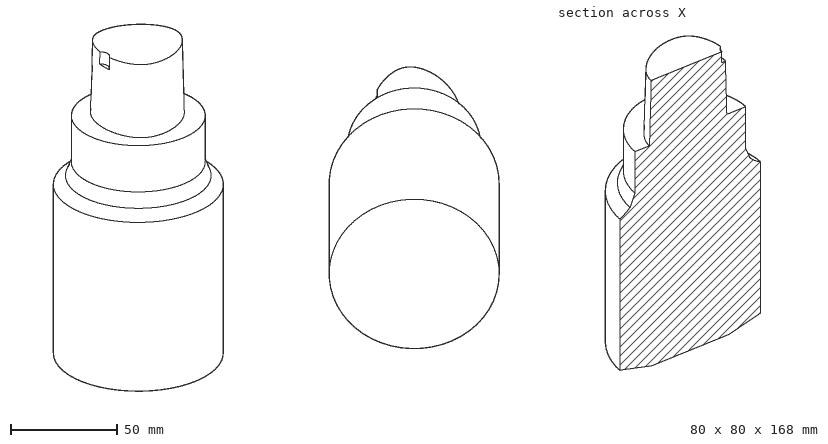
import cadquery as cq
import math

total_height = 168.0
body_radius = 80.0 / 2
collar_radius = 63.0 / 2
bottom_face_radius = 22.0
bottom_cone_height = 5.0
body_top = 93.9
bevel_radius = 36.5
bevel_top = 96.5
flare_radius = 34.3
flare_bottom = 98.5
collar_bottom = 105.7
collar_top = 130.0

shank_base_width = 44.2
shank_taper = 1 / 20
lobe_height = 1.21
points_per_outline = 48

notch_width = 7.7
notch_depth = 2.0
notch_height = 6.4

shank_height = total_height - collar_top
shank_top_width = shank_base_width - shank_taper * shank_height


def lobed_outline_point(width, angle):
    """Point on the trigon whose outward normal points along the angle."""
    lobe_phase = 3 * (angle + math.pi / 2)
    support = width / 2 - lobe_height * math.cos(lobe_phase)
    slope = 3 * lobe_height * math.sin(lobe_phase)
    return (
        support * math.cos(angle) - slope * math.sin(angle),
        support * math.sin(angle) + slope * math.cos(angle),
    )


def lobed_outline(width):
    """Outline points starting at the middle of the -Y side."""
    step = 2 * math.pi / points_per_outline
    return [lobed_outline_point(width, i * step - math.pi / 2) for i in range(points_per_outline)]


def make_body():
    profile = [
        (0, 0),
        (bottom_face_radius, 0),
        (body_radius, bottom_cone_height),
        (body_radius, body_top),
        (bevel_radius, bevel_top),
        (flare_radius, flare_bottom),
        (collar_radius, collar_bottom),
        (collar_radius, collar_top),
        (0, collar_top),
    ]
    return cq.Workplane("XZ").polyline(profile).close().revolve(360, (0, 0), (0, 1))


def make_shank():
    return (
        cq.Workplane("XY", origin=(0, 0, collar_top))
        .spline(lobed_outline(shank_base_width), periodic=True)
        .close()
        .workplane(offset=shank_height)
        .spline(lobed_outline(shank_top_width), periodic=True)
        .close()
        .loft(ruled=True, combine=True)
    )


def make_notch():
    """Cylinder that cuts an arc of the given width and depth into the -Y side."""
    notch_radius = ((notch_width / 2) ** 2 + notch_depth**2) / (2 * notch_depth)
    side_distance = shank_top_width / 2 - lobe_height
    center_y = -side_distance + notch_depth - notch_radius
    return (
        cq.Workplane("XY", origin=(0, center_y, total_height - notch_height))
        .circle(notch_radius)
        .extrude(notch_height)
    )


result = make_body().union(make_shank()).cut(make_notch())